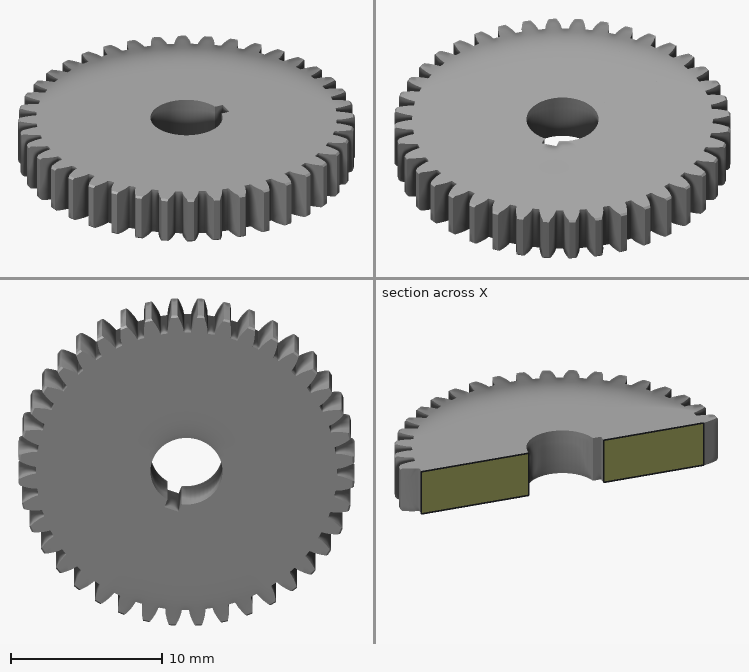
import cadquery as cq
import math

INCH = 25.4
TOOTH_COUNT = 40
DIAMETRAL_PITCH = 48 / INCH
PRESSURE_ANGLE = math.radians(20)
DEDENDUM_FACTOR = 1.25
ROOT_FILLET = 0.065
FLANK_SAMPLES = 5

FACE_WIDTH = INCH / 8
TIP_CHAMFER = 0.12
BORE_DIAMETER = 3 / 16 * INCH
KEYWAY_WIDTH = 1.0
KEYWAY_TOP = 2.9

PITCH_RADIUS = TOOTH_COUNT / DIAMETRAL_PITCH / 2
BASE_RADIUS = PITCH_RADIUS * math.cos(PRESSURE_ANGLE)
TIP_RADIUS = PITCH_RADIUS + 1 / DIAMETRAL_PITCH
ROOT_RADIUS = PITCH_RADIUS - DEDENDUM_FACTOR / DIAMETRAL_PITCH
TOOTH_PITCH = 2 * math.pi / TOOTH_COUNT

FILLET_CENTRE_RADIUS = ROOT_RADIUS + ROOT_FILLET
FLANK_FOOT_RADIUS = math.sqrt(FILLET_CENTRE_RADIUS**2 - ROOT_FILLET**2)
FILLET_ANGLE = math.asin(ROOT_FILLET / FILLET_CENTRE_RADIUS)


def polar(radius, angle):
    return (radius * math.cos(angle), radius * math.sin(angle))


def involute(angle):
    return math.tan(angle) - angle


def half_tooth_angle(radius):
    """Half the angle one tooth spans at a radius on or outside the base circle."""
    local_pressure_angle = math.acos(BASE_RADIUS / radius)
    return TOOTH_PITCH / 4 + involute(PRESSURE_ANGLE) - involute(local_pressure_angle)


def flank(centre_angle, side):
    """Points up one involute flank, from its foot to the tip circle."""
    step = (TIP_RADIUS - FLANK_FOOT_RADIUS) / (FLANK_SAMPLES - 1)
    radii = [FLANK_FOOT_RADIUS + i * step for i in range(FLANK_SAMPLES)]
    return [polar(r, centre_angle + side * half_tooth_angle(r)) for r in radii]


def fillet_middle(centre_angle, side):
    """Point halfway round the fillet at the foot of one flank."""
    fillet_angle = centre_angle + side * (half_tooth_angle(FLANK_FOOT_RADIUS) + FILLET_ANGLE)
    centre_x, centre_y = polar(FILLET_CENTRE_RADIUS, fillet_angle)
    inward_angle = fillet_angle + math.pi + side * math.pi / 4
    offset_x, offset_y = polar(ROOT_FILLET, inward_angle)
    return (centre_x + offset_x, centre_y + offset_y)


def toothed_blank():
    """Extruded gear outline: each tooth is two flanks, a tip arc, two fillets and a root arc."""
    first_tooth_angle = half_tooth_angle(BASE_RADIUS)
    half_root_angle = half_tooth_angle(FLANK_FOOT_RADIUS) + FILLET_ANGLE
    outline = cq.Workplane("XY").moveTo(*polar(ROOT_RADIUS, first_tooth_angle - half_root_angle))
    for i in range(TOOTH_COUNT):
        centre = first_tooth_angle + i * TOOTH_PITCH
        rising = flank(centre, -1)
        falling = flank(centre, 1)[::-1]
        root_start = polar(ROOT_RADIUS, centre + half_root_angle)
        root_middle = polar(ROOT_RADIUS, centre + TOOTH_PITCH / 2)
        root_end = polar(ROOT_RADIUS, centre + TOOTH_PITCH - half_root_angle)
        outline = (
            outline.threePointArc(fillet_middle(centre, -1), rising[0])
            .spline(rising[1:], includeCurrent=True)
            .threePointArc(polar(TIP_RADIUS, centre), falling[0])
            .spline(falling[1:], includeCurrent=True)
            .threePointArc(fillet_middle(centre, 1), root_start)
            .threePointArc(root_middle, root_end)
        )
    return outline.close().extrude(FACE_WIDTH)


def chamfered_envelope():
    """Disc on the tip circle whose two rims are chamfered."""
    return cq.Workplane("XY").circle(TIP_RADIUS).extrude(FACE_WIDTH).edges().chamfer(TIP_CHAMFER)


def keyed_bore():
    """Cutter for the through bore and its keyway on the +Y side."""
    bore = cq.Workplane("XY").circle(BORE_DIAMETER / 2).extrude(FACE_WIDTH)
    keyway = (
        cq.Workplane("XY")
        .center(0, KEYWAY_TOP / 2)
        .rect(KEYWAY_WIDTH, KEYWAY_TOP)
        .extrude(FACE_WIDTH)
    )
    return bore.union(keyway)


result = toothed_blank().intersect(chamfered_envelope()).cut(keyed_bore())